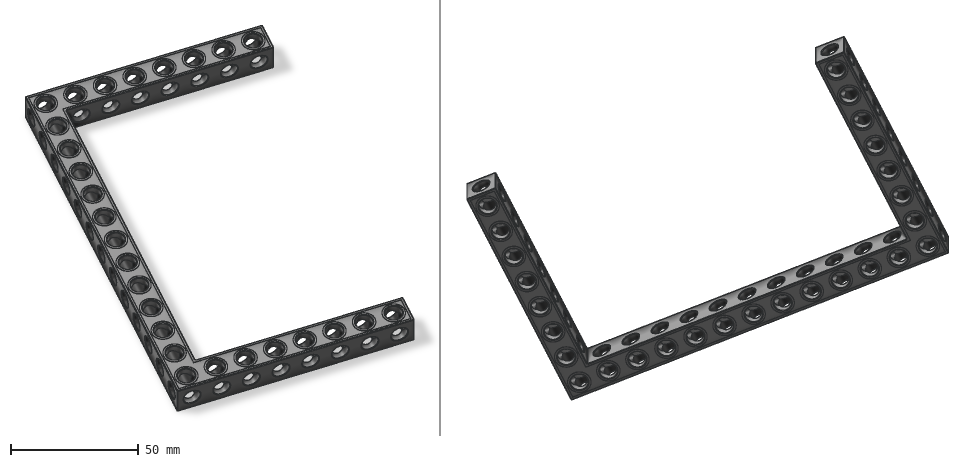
import cadquery as cq

pitch = 12.5
holes_along_base = 13
holes_along_arm = 8

bar = pitch
length_x = holes_along_base * pitch
length_y = holes_along_arm * pitch

hole_diameter = 7.0
edge_chamfer = 0.3

border_width = 1.1
ring_diameter = hole_diameter + 2 * border_width
recess_depth = 0.2

column_x = [(i - (holes_along_base - 1) / 2) * pitch for i in range(holes_along_base)]
row_y = [(i + 0.5) * pitch for i in range(holes_along_arm)]
arm_x = (column_x[0], column_x[-1])
base_y = row_y[0]
middle_z = bar / 2
vertical_points = [(x, base_y) for x in column_x]
vertical_points += [(x, y) for x in arm_x for y in row_y[1:]]

ALONG_X = cq.Vector(1, 0, 0)
ALONG_Y = cq.Vector(0, 1, 0)
ALONG_Z = cq.Vector(0, 0, 1)


def u_block(inset, z_bottom, height):
    """U-shaped block whose outline is pulled in all round by inset."""
    outer_x = length_x / 2 - inset
    inner_x = length_x / 2 - bar + inset
    outline = [
        (-outer_x, inset),
        (outer_x, inset),
        (outer_x, length_y - inset),
        (inner_x, length_y - inset),
        (inner_x, bar - inset),
        (-inner_x, bar - inset),
        (-inner_x, length_y - inset),
        (-outer_x, length_y - inset),
    ]
    return cq.Workplane("XY", origin=(0, 0, z_bottom)).polyline(outline).close().extrude(height)


def solid_frame():
    """Frame without holes, all its edges chamfered."""
    return u_block(0, 0, bar).edges().chamfer(edge_chamfer)


def hole_cutter(start, direction, length):
    """Round cutter from start along direction, flared at both ends to chamfer the mouths."""
    radius = hole_diameter / 2
    mouth_radius = radius + edge_chamfer
    end = start + direction * length
    return (
        cq.Solid.makeCylinder(radius, length, start, direction)
        .fuse(cq.Solid.makeCone(mouth_radius, radius, edge_chamfer, start, direction))
        .fuse(cq.Solid.makeCone(mouth_radius, radius, edge_chamfer, end, direction * -1))
    )


def cut_vertical_holes(body):
    for x, y in vertical_points:
        body = body.cut(hole_cutter(cq.Vector(x, y, 0), ALONG_Z, bar))
    return body


def cut_base_holes(body):
    """Holes along Y through the base; the two at its ends run on through the full length of the arms."""
    for x in column_x:
        length = length_y if x in arm_x else bar
        body = body.cut(hole_cutter(cq.Vector(x, 0, middle_z), ALONG_Y, length))
    return body


def cut_arm_holes(body):
    """Holes along X through both arms, and one through the full length of the base."""
    body = body.cut(hole_cutter(cq.Vector(-length_x / 2, base_y, middle_z), ALONG_X, length_x))
    for x in arm_x:
        for y in row_y[1:]:
            body = body.cut(hole_cutter(cq.Vector(x - bar / 2, y, middle_z), ALONG_X, bar))
    return body


def face_recess(z_bottom):
    """Shallow pocket inside the border, leaving a raised ring around each vertical hole."""
    rings = (
        cq.Workplane("XY", origin=(0, 0, z_bottom))
        .pushPoints(vertical_points)
        .circle(ring_diameter / 2)
        .extrude(recess_depth)
    )
    return u_block(border_width, z_bottom, recess_depth).cut(rings)


def cut_face_recesses(body):
    for z_bottom in (0, bar - recess_depth):
        body = body.cut(face_recess(z_bottom))
    return body


result = solid_frame()
result = cut_vertical_holes(result)
result = cut_base_holes(result)
result = cut_arm_holes(result)
result = cut_face_recesses(result)